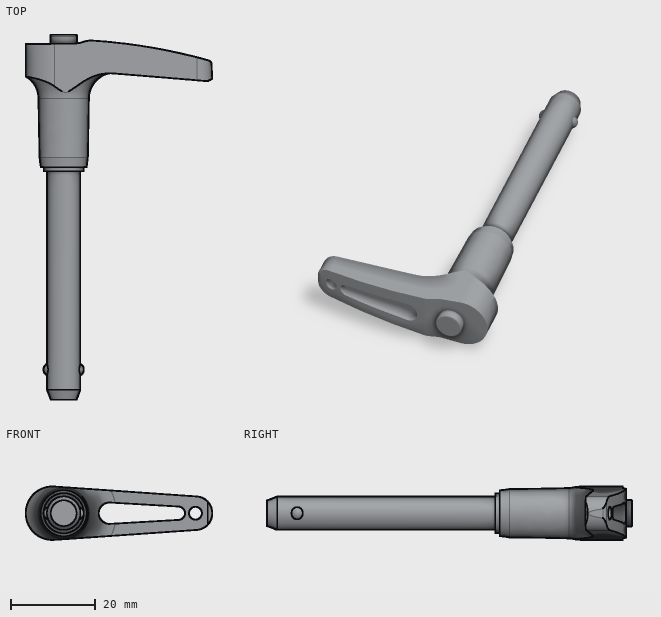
import cadquery as cq
import math


shaft_radius = 3.97
grip_length = 54.0
tip_radius = 3.05
tip_length = 2.4

ball_radius = 1.5
ball_span = 9.6
ball_setback = 7.15

collar_radius = 4.75
collar_length = 1.05
sleeve_end_radius = 5.45
sleeve_lower_radius = 5.75
sleeve_upper_radius = 6.0
sleeve_taper_start_y = 3.36
neck_start_y = 17.36

button_radius = 3.175
button_top_y = 32.36
button_edge_radius = 0.35

hub_radius = 6.35
hub_left_x = -9.0
handle_tip_x = 35.16
handle_tip_radius = 4.0

hub_top_y = 30.2
hump_start_x = 2.3
hump_crest = (6.5, 31.0)
back_middle = (20.7, 29.35)
back_end = (34.2, 26.3)
nose_upper = (35.0, 25.4)
nose_lower = (handle_tip_x, 21.9)
underside_end = (34.05, 21.33)
nose_foot = (31.8, 20.17)
underside_angle = 4.9
flare_radius = 5.86

slot_left_x = 8.31
slot_right_x = 28.68
slot_wide_radius = 2.5
slot_narrow_radius = 1.55
lanyard_hole_radius = 1.5

hub_center_x = hub_left_x + hub_radius
handle_tip_center_x = handle_tip_x - handle_tip_radius
underside_sin = math.sin(math.radians(underside_angle))
underside_cos = math.cos(math.radians(underside_angle))
underside_slope = underside_sin / underside_cos
flare_center = (sleeve_upper_radius + flare_radius, neck_start_y)
flare_end_x = flare_center[0] + flare_radius * underside_sin
flare_end_y = underside_end[1] + underside_slope * (underside_end[0] - flare_end_x)
underside_rim_radius = handle_tip_x + handle_tip_radius
underside_rim_y = flare_end_y - underside_slope * (underside_rim_radius - flare_end_x)
through_bottom_y = -grip_length
through_length = button_top_y + grip_length


def tapered_prism(left_center_x, left_radius, right_center_x, right_radius):
    """Solid along Y whose outline is two arcs joined by tangent lines."""
    tangent_sin = (left_radius - right_radius) / (right_center_x - left_center_x)
    tangent_cos = math.sqrt(1 - tangent_sin**2)

    def tangent_point(center_x, radius, side):
        return (center_x + radius * tangent_sin, side * radius * tangent_cos)

    plane = cq.Plane(origin=(0, through_bottom_y, 0), xDir=(1, 0, 0), normal=(0, 1, 0))
    return (
        cq.Workplane(plane)
        .moveTo(*tangent_point(left_center_x, left_radius, 1))
        .lineTo(*tangent_point(right_center_x, right_radius, 1))
        .threePointArc(
            (right_center_x + right_radius, 0),
            tangent_point(right_center_x, right_radius, -1),
        )
        .lineTo(*tangent_point(left_center_x, left_radius, -1))
        .threePointArc(
            (left_center_x - left_radius, 0),
            tangent_point(left_center_x, left_radius, 1),
        )
        .close()
        .extrude(through_length)
    )


def cylinder_along_y(center_x, radius, start_y, end_y):
    plane = cq.Plane(origin=(center_x, start_y, 0), xDir=(1, 0, 0), normal=(0, 1, 0))
    return cq.Workplane(plane).circle(radius).extrude(end_y - start_y)


def revolve_about_y(profile):
    return profile.close().revolve(360, (0, 0, 0), (0, 1, 0))


def make_shaft():
    return revolve_about_y(
        cq.Workplane("XY")
        .moveTo(0, -grip_length)
        .lineTo(tip_radius, -grip_length)
        .lineTo(shaft_radius, -grip_length + tip_length)
        .lineTo(shaft_radius, 0)
        .lineTo(collar_radius, 0)
        .lineTo(collar_radius, collar_length)
        .lineTo(0, collar_length)
    )


def make_turned_body():
    """Turned form of sleeve, flare and shallow conical handle underside."""
    flare_start_angle = 180
    flare_end_angle = 90 - underside_angle
    flare_middle_angle = math.radians((flare_start_angle + flare_end_angle) / 2)
    flare_middle = (
        flare_center[0] + flare_radius * math.cos(flare_middle_angle),
        flare_center[1] + flare_radius * math.sin(flare_middle_angle),
    )
    return revolve_about_y(
        cq.Workplane("XY")
        .moveTo(0, collar_length)
        .lineTo(sleeve_end_radius, collar_length)
        .lineTo(sleeve_lower_radius, sleeve_taper_start_y)
        .lineTo(sleeve_upper_radius, neck_start_y)
        .threePointArc(flare_middle, (flare_end_x, flare_end_y))
        .lineTo(underside_rim_radius, underside_rim_y)
        .lineTo(underside_rim_radius, button_top_y)
        .lineTo(0, button_top_y)
    )


def make_side_profile():
    """Prism along Z carrying the handle's back, nose and left side."""
    return (
        cq.Workplane("XY")
        .moveTo(hub_left_x, 0)
        .lineTo(hub_left_x, hub_top_y)
        .lineTo(hump_start_x, hub_top_y)
        .spline([hump_crest], tangents=[(1, 0), (1, 0)], includeCurrent=True)
        .threePointArc(back_middle, back_end)
        .tangentArcPoint(nose_upper, relative=False)
        .lineTo(*nose_lower)
        .lineTo(*nose_foot)
        .lineTo(nose_foot[0], 0)
        .close()
        .extrude(hub_radius, both=True)
    )


def make_handle():
    outline = tapered_prism(hub_center_x, hub_radius, handle_tip_center_x, handle_tip_radius)
    slot = tapered_prism(
        slot_left_x + slot_wide_radius,
        slot_wide_radius,
        slot_right_x - slot_narrow_radius,
        slot_narrow_radius,
    )
    lanyard_hole = cylinder_along_y(
        handle_tip_center_x, lanyard_hole_radius, through_bottom_y, button_top_y
    )
    body = make_turned_body().intersect(make_side_profile()).intersect(outline)
    return body.cut(slot).cut(lanyard_hole)


def make_button():
    button = cylinder_along_y(0, button_radius, flare_end_y, button_top_y)
    return button.faces(">Y").edges().fillet(button_edge_radius)


def make_ball(side):
    center_x = side * (ball_span / 2 - ball_radius)
    center_y = ball_setback - grip_length
    return cq.Workplane("XY").sphere(ball_radius).translate((center_x, center_y, 0))


result = make_handle().union(make_shaft()).union(make_button())
for ball_side in (-1, 1):
    result = result.union(make_ball(ball_side))